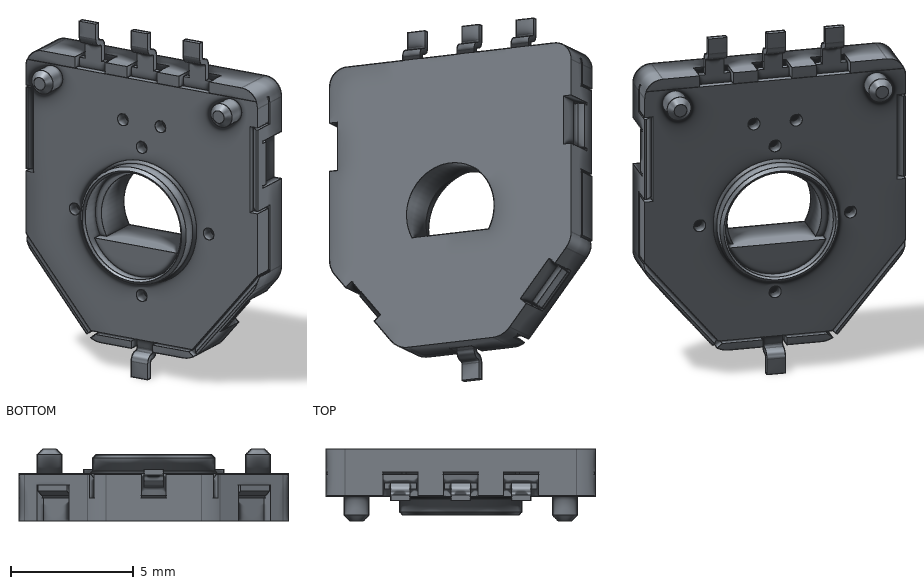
import cadquery as cq
import math


half_width = 5.51
housing_top = 6.54
housing_bottom = -5.56
diagonal_start = -1.86
diagonal_angle = 50.0
top_corner_radius = 0.77
lower_corner_radius = 1.0
housing_front = 0.03
housing_back = 1.94

cover_top = 6.06
cover_bottom = -5.11
cover_diagonal_start = -1.42
wall = 0.36
tab_back = 0.9
gap = 0.097
pocket_back = tab_back + gap
upper_tab_top = 6.02
upper_tab_bottom = 4.95
lower_tab_top = 1.25

side_groove_width = 0.27
side_groove_depth = 0.27
diagonal_groove_width = 0.18
diagonal_groove_depth = 0.21

window_length = 2.03
window_front = 0.46
side_window_height = 3.25
diagonal_window_height = -3.52
catch_chamfer = 0.2
diagonal_catch_overhang = 0.03

bore_radius = 2.0
bore_flat = -0.97
rotor_radius = 2.24
rotor_front = -0.3
ring_bore_radius = 2.28
ring_bore_back = 0.13
ring_radius = 2.5
ring_front = -0.77
ring_foot = 0.12
ring_outer_chamfer = 0.13
ring_inner_chamfer = 0.09

peg_x = 4.26
peg_z = 5.5
peg_radius = 0.5
peg_front = -1.01
peg_chamfer = 0.24

hole_radius = 0.25
hole_depth = 0.6
hole_circle = 3.19
pair_x = 0.9
pair_z = 4.23

pin_width = 0.79
pin_thickness = 0.24
pin_pitch = 2.47
pin_front = 0.3
bend_radius = 0.12
upper_bend_start = 7.06
lower_bend_start = housing_bottom
upper_pin_tip = 8.2
lower_pin_tip = -6.7
pin_root_width = 1.31
pin_root_top = 6.47
pin_pocket_width = 1.43
lower_slot_width = 1.01
lip_gap = 0.13
lip_end_setback = 0.18

overcut = 0.15
slope = math.tan(math.radians(diagonal_angle))
normal_tilt = 90 - diagonal_angle


def prism(points, front, back):
    """Solid between two Y planes with the given X-Z outline."""
    return cq.Workplane("XZ", origin=(0, back, 0)).polyline(points).close().extrude(back - front)


def block(x_range, y_range, z_range):
    """Box given by its limits along each axis."""
    (x0, x1), (y0, y1), (z0, z1) = x_range, y_range, z_range
    return cq.Workplane("XY").box(x1 - x0, y1 - y0, z1 - z0, centered=False).translate((x0, y0, z0))


def cylinder(x, z, radius, front, back):
    """Round solid along Y."""
    return cq.Workplane("XZ", origin=(x, back, z)).circle(radius).extrude(back - front)


def both_sides(shape):
    """The shape together with its mirror image across the middle plane."""
    return shape.union(shape.mirror("YZ"))


def diagonal_x(start, z):
    """X at height z on the right diagonal that leaves the side at the start height."""
    return half_width - (start - z) / slope


def tapered_outline(bottom, top, corner):
    """Outline with straight sides that run in along the diagonals to a flat bottom."""
    right = [(diagonal_x(corner, bottom), bottom), (half_width, corner), (half_width, top)]
    return right + [(-x, z) for x, z in reversed(right)]


def housing_block(front, back):
    """Block with the housing's rounded outline."""
    outline = tapered_outline(housing_bottom, housing_top, diagonal_start)
    sharp = prism(outline, front, back)
    rounded_below = sharp.edges("|Y and (not >Z)").fillet(lower_corner_radius)
    return rounded_below.edges("|Y").edges(">Z").fillet(top_corner_radius)


def to_diagonal(shape, x, z):
    """Turn a shape made on a +X facing wall at the origin onto the right diagonal."""
    return shape.rotate((0, 0, 0), (0, 1, 0), normal_tilt).translate((x, 0, z))


def groove(width, depth, length):
    """Groove along Z, deepest at x = 0 and running out to the rim at x = width."""
    profile = [(0, -overcut), (width, -overcut), (width, housing_front), (0, housing_front + depth)]
    return cq.Workplane("XY", origin=(0, 0, -length / 2)).polyline(profile).close().extrude(length)


def window():
    """Cut for a window in a +X facing wall whose outer face is at x = 0."""
    return block((-wall, wall), (window_front, housing_back), (-window_length / 2, window_length / 2))


def catch(overhang):
    """Catch in the front part of a window, with its outer back edge sloped."""
    half_length = window_length / 2 - gap
    body = block((-wall - gap, overhang), (window_front, tab_back), (-half_length, half_length))
    return body.edges(">X and >Y").chamfer(catch_chamfer)


def bent_pin(x, root, bend_start, tip):
    """Flat terminal from its root, stepped forward by two quarter bends, to its tip."""
    way = 1 if tip > root else -1
    outer_radius = bend_radius + pin_thickness
    center_y = pin_front - bend_radius
    bend_end = bend_start + way * (bend_radius + outer_radius)

    def first_arc(radius, degrees):
        angle = math.radians(degrees)
        return (center_y + radius * math.cos(angle), bend_start + way * radius * math.sin(angle))

    def second_arc(radius, degrees):
        angle = math.radians(degrees)
        return (center_y - radius * math.cos(angle), bend_end - way * radius * math.sin(angle))

    return (
        cq.Workplane("YZ", origin=(x - pin_width / 2, 0, 0))
        .moveTo(*first_arc(outer_radius, 0))
        .threePointArc(first_arc(outer_radius, 45), first_arc(outer_radius, 90))
        .threePointArc(second_arc(bend_radius, 45), second_arc(bend_radius, 0))
        .lineTo(center_y - bend_radius, tip)
        .lineTo(center_y - outer_radius, tip)
        .lineTo(*second_arc(outer_radius, 0))
        .threePointArc(second_arc(outer_radius, 45), second_arc(outer_radius, 90))
        .threePointArc(first_arc(bend_radius, 45), first_arc(bend_radius, 0))
        .lineTo(pin_front, root)
        .lineTo(pin_front + pin_thickness, root)
        .close()
        .extrude(pin_width)
    )


def lower_lip_gap():
    """Clearance behind the bottom lip, opening at the lower corners and around the pin."""
    lip_top = cover_bottom - lip_gap
    corner_x = diagonal_x(cover_diagonal_start, cover_bottom)
    reach = 2 * wall
    out_x = reach * math.cos(math.radians(normal_tilt))
    out_z = reach * math.sin(math.radians(normal_tilt))
    lip_end = corner_x - lip_end_setback
    corner = prism(
        [
            (corner_x, cover_bottom),
            (corner_x + out_x, cover_bottom - out_z),
            (lip_end + out_x, lip_top - out_z),
            (lip_end, lip_top),
            (lip_end, cover_bottom),
        ],
        -overcut,
        pocket_back,
    )
    slit = block((-lip_end, lip_end), (-overcut, pocket_back), (lip_top, cover_bottom))
    slot_half = lower_slot_width / 2
    slot = block((-slot_half, slot_half), (-overcut, pocket_back), (housing_bottom - overcut, cover_bottom))
    return both_sides(corner).union(slit).union(slot)


inner_half = half_width - wall
cover_outline = tapered_outline(cover_bottom, cover_top, cover_diagonal_start)
between_walls = block((-inner_half, inner_half), (tab_back, pocket_back), (cover_bottom, cover_top))
cavity = prism(cover_outline, tab_back, pocket_back).intersect(between_walls)
cavity = cavity.cut(cylinder(0, 0, rotor_radius, tab_back, pocket_back))
body = housing_block(housing_front, housing_back).cut(cavity)

cover = prism(cover_outline, 0, housing_front + overcut).intersect(housing_block(0, housing_back))
beside_cover = (inner_half, half_width + overcut)
narrowing = block(beside_cover, (-overcut, housing_back), (lower_tab_top, upper_tab_bottom))
body = body.union(cover.cut(both_sides(narrowing)))

tab_spans = [(upper_tab_bottom, upper_tab_top), (cover_diagonal_start, lower_tab_top)]
for tab_span in tab_spans:
    behind = block((inner_half - gap, half_width + overcut), (tab_back, pocket_back), tab_span)
    body = body.cut(both_sides(behind))

tab_end_slits = [
    (upper_tab_bottom - gap, upper_tab_bottom),
    (lower_tab_top, lower_tab_top + gap),
    (cover_diagonal_start - gap, cover_diagonal_start),
]
cover_column = prism(cover_outline, -overcut, housing_back)
for slit_span in tab_end_slits:
    slit = block(beside_cover, (-overcut, pocket_back), slit_span)
    if slit_span == tab_end_slits[-1]:
        slit = slit.cut(cover_column)
    body = body.cut(both_sides(slit))

side_groove = groove(side_groove_width, side_groove_depth, upper_tab_bottom - lower_tab_top)
side_groove = side_groove.translate((inner_half, 0, (upper_tab_bottom + lower_tab_top) / 2))
diagonal_length = (cover_diagonal_start - cover_bottom) / math.sin(math.radians(diagonal_angle))
diagonal_middle_z = (cover_diagonal_start + cover_bottom) / 2
diagonal_middle_x = diagonal_x(cover_diagonal_start, diagonal_middle_z)
diagonal_groove = groove(diagonal_groove_width, diagonal_groove_depth, diagonal_length)
diagonal_groove = to_diagonal(diagonal_groove, diagonal_middle_x, diagonal_middle_z)
body = body.cut(both_sides(side_groove.union(diagonal_groove)))

body = body.cut(lower_lip_gap())

diagonal_window_x = diagonal_x(diagonal_start, diagonal_window_height)
side_spot = (half_width, 0, side_window_height)
diagonal_spot = (diagonal_window_x, diagonal_window_height)
windows = window().translate(side_spot).union(to_diagonal(window(), *diagonal_spot))
side_catch = catch(0).translate(side_spot)
diagonal_catch = to_diagonal(catch(diagonal_catch_overhang), *diagonal_spot)
body = body.cut(both_sides(windows)).union(both_sides(side_catch.union(diagonal_catch)))

foot_radius = ring_radius + ring_foot
ring_profile = [
    (0, housing_front),
    (foot_radius, housing_front),
    (foot_radius, 0),
    (ring_radius, -ring_foot),
    (ring_radius, ring_front + ring_outer_chamfer),
    (ring_radius - ring_outer_chamfer, ring_front),
    (0, ring_front),
]
ring = cq.Workplane("XY").polyline(ring_profile).close().revolve(360, (0, 0, 0), (0, 1, 0))
body = body.union(ring)

ring_bore_profile = [
    (0, ring_front),
    (ring_bore_radius + ring_inner_chamfer, ring_front),
    (ring_bore_radius, ring_front + ring_inner_chamfer),
    (ring_bore_radius, ring_bore_back),
    (0, ring_bore_back),
]
ring_bore = cq.Workplane("XY").polyline(ring_bore_profile).close().revolve(360, (0, 0, 0), (0, 1, 0))
above_flat = block((-half_width, half_width), (ring_front, housing_back), (bore_flat, housing_top))
rotor = cylinder(0, 0, ring_bore_radius, rotor_front, ring_bore_back).cut(above_flat)
shaft_opening = cylinder(0, 0, bore_radius, ring_front, housing_back).intersect(above_flat)
body = body.cut(ring_bore).union(rotor).cut(shaft_opening)

for x in (-peg_x, peg_x):
    peg = cylinder(x, peg_z, peg_radius, peg_front, housing_front)
    body = body.union(peg.faces("<Y").chamfer(peg_chamfer))

hole_places = [
    (-pair_x, pair_z),
    (pair_x, pair_z),
    (0, hole_circle),
    (0, -hole_circle),
    (-hole_circle, 0),
    (hole_circle, 0),
]
for x, z in hole_places:
    body = body.cut(cylinder(x, z, hole_radius, 0, hole_depth))

pin_back = pin_front + pin_thickness
for x in (-pin_pitch, 0, pin_pitch):
    pocket_sides = (x - pin_pocket_width / 2, x + pin_pocket_width / 2)
    root_sides = (x - pin_root_width / 2, x + pin_root_width / 2)
    body = body.cut(block(pocket_sides, (-overcut, pocket_back), (cover_top, housing_top + overcut)))
    body = body.union(block(root_sides, (pin_front, pin_back), (cover_top, pin_root_top)))
    body = body.union(bent_pin(x, cover_top, upper_bend_start, upper_pin_tip))

body = body.union(bent_pin(0, cover_bottom, lower_bend_start, lower_pin_tip))

result = body